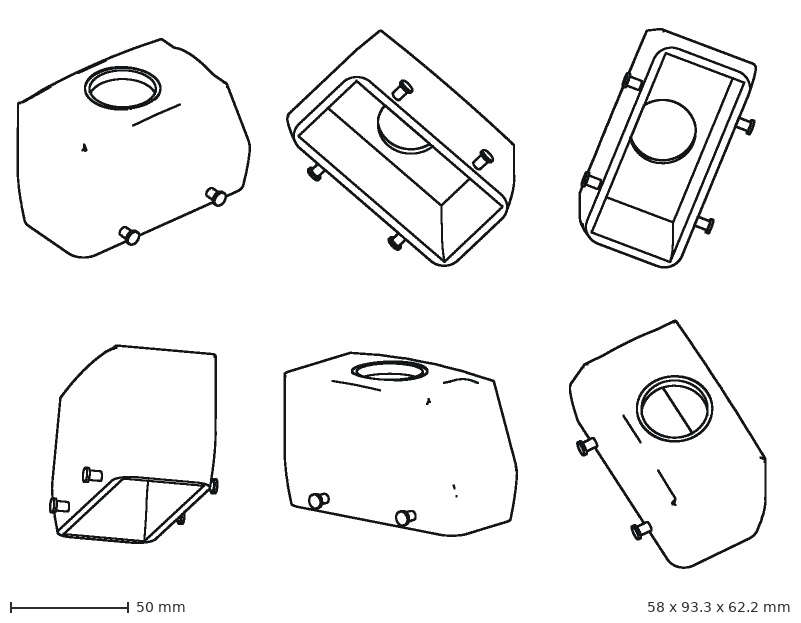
import cadquery as cq
import math

length = 93.3
upper_width = 45.4
crown_height = 60.8
crown_radius = 307.9
column_top = 65.3

skirt_height = 6.7
shoulder_height = 23.3
skirt_angle = math.radians(4)

front_draft = 0.015
rear_draft = 0.014
slope_angle = math.radians(19.7)
knee_height = 20.7
knee_radius = 14.9

corner_bottom = 8.1
corner_skirt = 5.5
corner_shoulder = 2.0
corner_top = 1.1
corner_clearance = 0.01
bend_growth = 1.5
bend_steps = 6

top_fillet = 2.0
hole_y = -6.2
hole_diameter = 28.2
seat_diameter = 32.1
seat_depth = 0.6
roof_thickness = 4.5
wall = 3.7

grip_radius = 23.8
grip_apex = 62.8
grip_rise = 8.4
grip_length = 14.9

pin_span = 58.0
pin_spacing = 47.4
pin_height = 6.25
pin_diameter = 4.1
pin_head_diameter = 6.2
pin_head_thickness = 1.2

seat_height = crown_height - seat_depth
ceiling_height = seat_height - roof_thickness
knee_y = length / 2 - rear_draft * knee_height


def half_width(z):
    """Vertical walls, a large tangent arc below the shoulder, then a straight skirt."""
    bend_radius = (shoulder_height - skirt_height) / math.sin(skirt_angle)
    if z >= shoulder_height:
        return upper_width / 2
    if z >= skirt_height:
        return upper_width / 2 - bend_radius + math.sqrt(bend_radius**2 - (shoulder_height - z) ** 2)
    return half_width(skirt_height) - (skirt_height - z) * math.tan(skirt_angle)


def front_y(z):
    """Front wall, leaning slightly inward."""
    return -length / 2 + front_draft * z


def slope_y(z):
    """Sloped upper part of the rear wall."""
    return knee_y - (z - knee_height) * math.tan(slope_angle)


def rear_y(z):
    """Near-upright lower wall and sloped upper wall, blended by the knee arc."""
    lean = math.atan(rear_draft)
    tangent = knee_radius * math.tan((slope_angle - lean) / 2)
    arc_start = knee_height - tangent * math.cos(lean)
    arc_end = knee_height + tangent * math.cos(slope_angle)
    if z <= arc_start:
        return length / 2 - rear_draft * z
    if z >= arc_end:
        return slope_y(z)
    center_z = arc_end - knee_radius * math.sin(slope_angle)
    center_y = slope_y(arc_end) - knee_radius * math.cos(slope_angle)
    return center_y + math.sqrt(knee_radius**2 - (z - center_z) ** 2)


def corner_radius(z):
    """Corner rounding grows slowly from the roof down to the shoulder, then quickly to the bottom."""
    if z >= shoulder_height:
        share = (z - shoulder_height) / (crown_height - shoulder_height)
        return corner_shoulder + share * (corner_top - corner_shoulder)
    if z >= skirt_height:
        share = (shoulder_height - z) / (shoulder_height - skirt_height)
        return corner_shoulder + share**bend_growth * (corner_skirt - corner_shoulder)
    share = (skirt_height - z) / skirt_height
    return corner_skirt + share * (corner_bottom - corner_skirt)


def corner_section(z):
    """Rounded rectangle at one height, standing proud of the flat walls so only its arcs cut."""
    x = half_width(z) + corner_clearance
    front = front_y(z) - corner_clearance
    rear = rear_y(z) + corner_clearance
    r = corner_radius(z)
    rectangle = cq.Workplane("XY", origin=(0, (front + rear) / 2, z)).rect(2 * x, rear - front).val()
    return rectangle.fillet2D(r, rectangle.Vertices())


def corner_column():
    """Stack of lofts carrying the varying corner rounding over the full height."""
    bend_depth = shoulder_height - skirt_height
    bend = [skirt_height + bend_depth * i / bend_steps for i in range(bend_steps + 1)]
    skirt = cq.Solid.makeLoft([corner_section(z) for z in (0, skirt_height)], True)
    middle = cq.Solid.makeLoft([corner_section(z) for z in bend])
    upper = cq.Solid.makeLoft([corner_section(z) for z in (shoulder_height, column_top)], True)
    return cq.Workplane(skirt).union(cq.Workplane(middle)).union(cq.Workplane(upper))


def square_body(top, inset):
    """Body with sharp upright corners: the long profile crossed with the end profile."""
    long_profile = (
        cq.Workplane("YZ")
        .moveTo(front_y(0) + inset, 0)
        .lineTo(front_y(top) + inset, top)
        .lineTo(slope_y(top) - inset, top)
        .lineTo(knee_y - inset, knee_height)
        .lineTo(length / 2 - inset, 0)
        .close()
        .extrude(upper_width, both=True)
    )
    knee = cq.NearestToPointSelector((0, knee_y - inset, knee_height))
    long_profile = long_profile.edges(knee).fillet(knee_radius)

    base_x = half_width(0) - inset
    skirt_x = half_width(skirt_height) - inset
    bend_height = (skirt_height + shoulder_height) / 2
    bend_x = half_width(bend_height) - inset
    upper_x = half_width(shoulder_height) - inset
    end_profile = (
        cq.Workplane("XZ")
        .moveTo(-base_x, 0)
        .lineTo(base_x, 0)
        .lineTo(skirt_x, skirt_height)
        .threePointArc((bend_x, bend_height), (upper_x, shoulder_height))
        .lineTo(upper_x, top)
        .lineTo(-upper_x, top)
        .lineTo(-upper_x, shoulder_height)
        .threePointArc((-bend_x, bend_height), (-skirt_x, skirt_height))
        .close()
        .extrude(length, both=True)
    )
    return long_profile.intersect(end_profile)


def thumb_grip():
    """Arched segment standing on the slope and running square into the roof."""
    half_chord = math.sqrt(grip_radius**2 - (grip_radius - grip_rise) ** 2)
    plane = cq.Plane(
        origin=(0, slope_y(grip_apex), grip_apex),
        xDir=(-1, 0, 0),
        normal=(0, math.cos(slope_angle), math.sin(slope_angle)),
    )
    return (
        cq.Workplane(plane)
        .moveTo(-half_chord, -grip_rise)
        .threePointArc((0, 0), (half_chord, -grip_rise))
        .close()
        .extrude(-grip_length)
    )


def hood():
    """Outer solid: arched roof, thumb grip, rounded top edges and rounded upright corners."""
    roof_cylinder = (
        cq.Workplane("YZ")
        .center(hole_y, crown_height - crown_radius)
        .circle(crown_radius)
        .extrude(upper_width, both=True)
    )
    body = square_body(column_top, 0).intersect(roof_cylinder).union(thumb_grip(), clean=True)
    roof_face = cq.NearestToPointSelector((0, hole_y, crown_height))
    grip_edge = cq.NearestToPointSelector((0, slope_y(grip_apex), grip_apex))
    top_edges = body.faces(roof_face).edges().add(body.edges(grip_edge))
    return top_edges.fillet(top_fillet).intersect(corner_column())


def pin(side, y):
    """Headed pin rooted in the wall on one side of the hood."""
    start = cq.Workplane("YZ", origin=(side * (upper_width / 2 - wall), y, pin_height))
    reach = pin_span / 2 - upper_width / 2 + wall
    shaft = start.circle(pin_diameter / 2).extrude(side * reach)
    tip = start.workplane(offset=side * reach)
    head = tip.circle(pin_head_diameter / 2).extrude(-side * pin_head_thickness)
    return shaft.union(head)


def cable_hole():
    """Bore through the roof below a shallow flat seat."""
    axis = cq.Workplane("XY", origin=(0, hole_y, 0))
    bore_start = axis.workplane(offset=ceiling_height)
    bore = bore_start.circle(hole_diameter / 2).extrude(column_top - ceiling_height)
    seat_start = axis.workplane(offset=seat_height)
    seat = seat_start.circle(seat_diameter / 2).extrude(column_top - seat_height)
    return bore.union(seat)


result = hood().cut(square_body(ceiling_height, wall)).cut(cable_hole())
for side in (-1, 1):
    for y in (-pin_spacing / 2, pin_spacing / 2):
        result = result.union(pin(side, y))